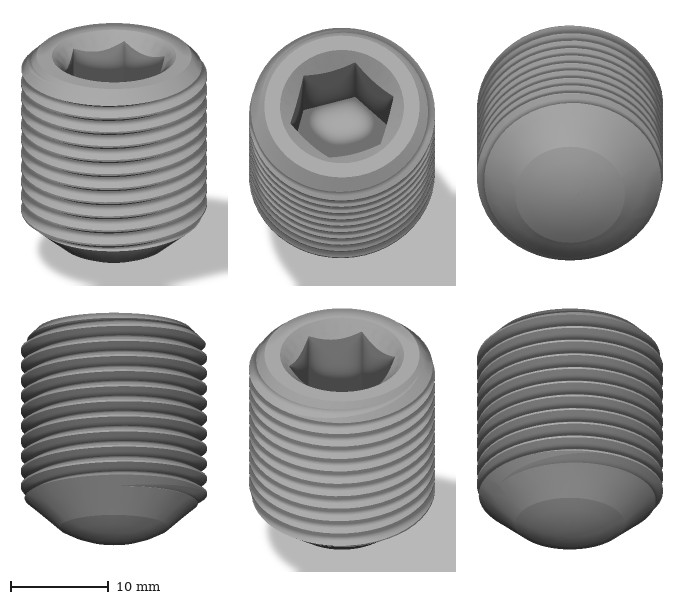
import cadquery as cq
import math

height = 22.23
major_diameter = 19.05
major_radius = major_diameter / 2

ten_turn_length = 15.87
pitch = ten_turn_length / 10
half_angle = math.radians(30)
crest_flat = pitch / 8
groove_depth = (pitch - crest_flat) / 2 / math.tan(half_angle)
root_radius = major_radius - groove_depth
groove_start = 1.58
cutter_overrun = 0.07

top_face_radius = 7.94
dome_radius = 5.6
dome_height = 1.53
cone_angle = math.radians(41)

socket_across_flats = 9.51
socket_across_corners = socket_across_flats / math.cos(math.radians(30))
socket_depth = socket_across_flats
countersink_radius = 6.34


def make_body():
    """Turned blank: domed and coned below, chamfered above."""
    chamfer = major_radius - top_face_radius
    cone_top = dome_height + (major_radius - dome_radius) * math.tan(cone_angle)
    sphere_radius = (dome_radius**2 + dome_height**2) / (2 * dome_height)
    mid_radius = dome_radius / 2
    mid_height = sphere_radius - math.sqrt(sphere_radius**2 - mid_radius**2)
    return (
        cq.Workplane("YZ")
        .moveTo(0, 0)
        .threePointArc((mid_radius, mid_height), (dome_radius, dome_height))
        .lineTo(major_radius, cone_top)
        .lineTo(major_radius, height - chamfer)
        .lineTo(top_face_radius, height)
        .lineTo(0, height)
        .close()
        .revolve(360, (0, 0, 0), (0, 1, 0))
    )


def make_turn_cutter():
    """One helical turn of the thread vee, starting and ending on the +X side."""
    outer_radius = major_radius + cutter_overrun
    half_width = (outer_radius - root_radius) * math.tan(half_angle)
    helix = cq.Wire.makeHelix(pitch, pitch, root_radius)
    path = cq.Workplane(obj=helix.moved(cq.Location(cq.Vector(0, 0, groove_start))))
    return (
        cq.Workplane("XZ")
        .moveTo(root_radius, groove_start)
        .lineTo(outer_radius, groove_start + half_width)
        .lineTo(outer_radius, groove_start - half_width)
        .close()
        .sweep(path, isFrenet=True)
    )


def cut_thread(body):
    """Cut the vee turn by turn, running out through the lower cone and the top chamfer."""
    turn_cutter = make_turn_cutter()
    turns = math.ceil((height - groove_start) / pitch)
    for turn in range(turns):
        body = body.cut(turn_cutter.translate((0, 0, turn * pitch)))
    return body


def make_socket():
    """Flat-bottomed hexagon, corners on the X axis, plus its countersink."""
    hexagon = (
        cq.Workplane("XY", origin=(0, 0, height))
        .polygon(6, socket_across_corners)
        .extrude(-socket_depth)
    )
    countersink = cq.Workplane(
        cq.Solid.makeCone(
            0, countersink_radius, countersink_radius, cq.Vector(0, 0, height - countersink_radius)
        )
    )
    return hexagon.union(countersink)


result = cut_thread(make_body()).cut(make_socket())